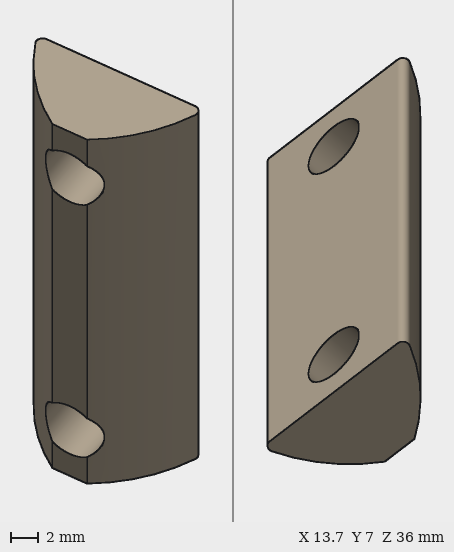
import cadquery as cq
import math

length = 36.0
width = 13.7
depth = 7.0

front_flat_width = 2.95
corner_radius = 0.55
flank_radius = 14.4

hole_diameter = 5.0
hole_spacing = 26.4

back_y = depth / 2
front_y = -depth / 2

flat_x = front_flat_width / 2
corner_x = width / 2 - corner_radius
corner_y = back_y - corner_radius


def flank_centre():
    """Centre of the right flank's circle, inside the section."""
    inner_radius = flank_radius - corner_radius
    dx = corner_x - flat_x
    dy = corner_y - front_y
    span = math.hypot(dx, dy)
    along = (flank_radius**2 - inner_radius**2 + span**2) / (2 * span)
    across = math.sqrt(flank_radius**2 - along**2)
    return (
        flat_x + (along * dx - across * dy) / span,
        front_y + (along * dy + across * dx) / span,
    )


def polar(centre, radius, angle):
    return (centre[0] + radius * math.cos(angle), centre[1] + radius * math.sin(angle))


def mirrored(point):
    return (-point[0], point[1])


def make_body():
    centre = flank_centre()
    corner = (corner_x, corner_y)
    start_angle = math.atan2(front_y - centre[1], flat_x - centre[0])
    end_angle = math.atan2(corner_y - centre[1], corner_x - centre[0])
    flank_start = (flat_x, front_y)
    flank_mid = polar(centre, flank_radius, (start_angle + end_angle) / 2)
    flank_end = polar(centre, flank_radius, end_angle)
    corner_mid = polar(corner, corner_radius, (end_angle + math.pi / 2) / 2)
    corner_end = (corner_x, back_y)
    return (
        cq.Workplane("XY")
        .workplane(offset=-length / 2)
        .moveTo(*mirrored(flank_start))
        .lineTo(*flank_start)
        .threePointArc(flank_mid, flank_end)
        .threePointArc(corner_mid, corner_end)
        .lineTo(*mirrored(corner_end))
        .threePointArc(mirrored(corner_mid), mirrored(flank_end))
        .threePointArc(mirrored(flank_mid), mirrored(flank_start))
        .close()
        .extrude(length)
    )


def make_holes():
    return (
        cq.Workplane("XZ")
        .pushPoints([(0, -hole_spacing / 2), (0, hole_spacing / 2)])
        .circle(hole_diameter / 2)
        .extrude(depth, both=True)
    )


result = make_body().cut(make_holes())